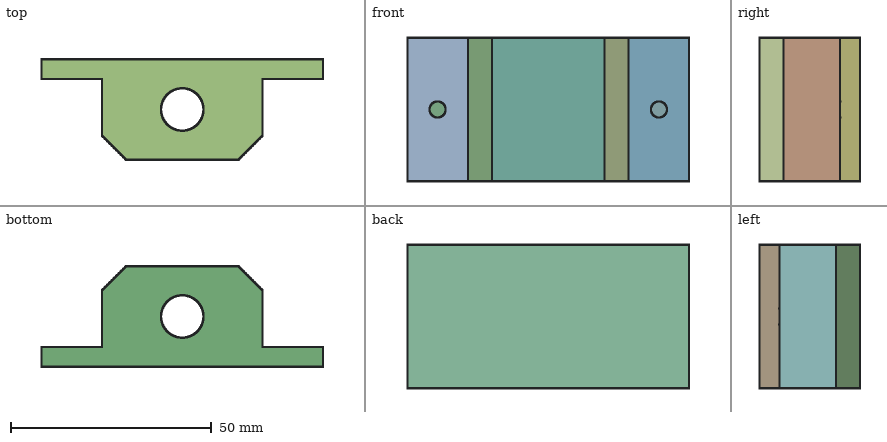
import cadquery as cq

length = 70.1
depth = 25.0
height = 35.8

flange_thickness = 5.0
block_width = 40.0
block_chamfer = 6.0

bore_diameter = 10.5
flange_hole_diameter = 4.0
flange_hole_depth = 4.0
flange_hole_edge_distance = 7.5

front_y = -depth / 2
back_y = depth / 2
flange_front_y = back_y - flange_thickness


def make_flange():
    """Flat plate spanning the full length at the back."""
    return (
        cq.Workplane("XY")
        .center(0, back_y - flange_thickness / 2)
        .rect(length, flange_thickness)
        .extrude(height)
    )


def make_block():
    """Central block with its two front vertical edges chamfered."""
    return (
        cq.Workplane("XY")
        .rect(block_width, depth)
        .extrude(height)
        .edges("|Z and <Y")
        .chamfer(block_chamfer)
    )


def make_bore():
    """Vertical through bore in the middle of the block."""
    return cq.Workplane("XY").circle(bore_diameter / 2).extrude(height)


def make_flange_holes():
    """Blind holes sunk into the front face of each flange wing."""
    hole_x = length / 2 - flange_hole_edge_distance
    return (
        cq.Workplane("XZ", origin=(0, flange_front_y, height / 2))
        .pushPoints([(-hole_x, 0), (hole_x, 0)])
        .circle(flange_hole_diameter / 2)
        .extrude(-flange_hole_depth)
    )


result = make_flange().union(make_block()).cut(make_bore()).cut(make_flange_holes())